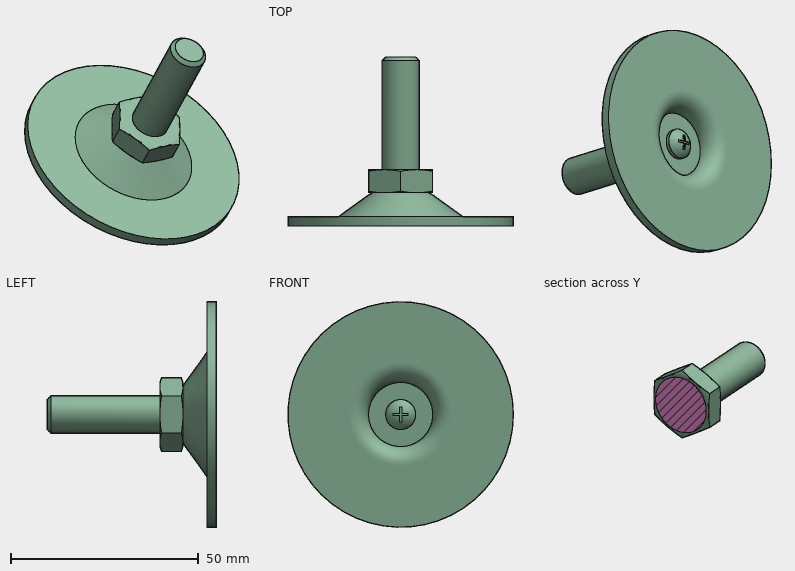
import cadquery as cq
import math

total_length = 45.0

disc_radius = 30.0
disc_thickness = 2.5

cone_base_radius = 16.55
cone_top_radius = 8.4
cone_top_y = 8.4
collar_radius = 7.5

nut_start_y = 8.9
nut_end_y = 15.0
nut_across_flats = 17.05
nut_corner_radius = nut_across_flats / 2 / math.cos(math.pi / 6)
nut_bevel_radius = nut_across_flats / 2
nut_bevel_angle = math.radians(18)

stud_radius = 10.0 / 2
stud_chamfer = 1.0

recess_mouth_radius = 13.5
recess_depth = 5.0
recess_floor_radius = recess_mouth_radius - recess_depth

head_radius = 8.0 / 2
head_rim_height = 1.0
head_height = 3.0
cross_length = 4.2
cross_width = 0.6
cross_depth = 0.4


def revolve_about_y(profile):
    """Turn a closed (radius, Y) profile into a solid around the Y axis."""
    return profile.close().revolve(360, (0, 0, 0), (0, 1, 0))


def make_base():
    """Disc, cone and collar, with a rounded recess in the floor face."""
    arc_offset = recess_depth * math.sqrt(0.5)
    arc_middle = (recess_mouth_radius - arc_offset, recess_depth - arc_offset)
    return revolve_about_y(
        cq.Workplane("XY")
        .moveTo(0, recess_depth)
        .lineTo(recess_floor_radius, recess_depth)
        .threePointArc(arc_middle, (recess_mouth_radius, 0))
        .lineTo(disc_radius, 0)
        .lineTo(disc_radius, disc_thickness)
        .lineTo(cone_base_radius, disc_thickness)
        .lineTo(cone_top_radius, cone_top_y)
        .lineTo(collar_radius, nut_start_y)
        .lineTo(0, nut_start_y)
    )


def make_nut():
    """Hexagon with two corners on the Z axis and both ends bevelled."""
    corners = []
    for i in range(6):
        angle = math.pi / 2 + i * math.pi / 3
        corners.append((nut_corner_radius * math.cos(angle), nut_corner_radius * math.sin(angle)))
    hexagon = (
        cq.Workplane("XZ", origin=(0, nut_start_y, 0))
        .polyline(corners)
        .close()
        .extrude(nut_start_y - nut_end_y)
    )
    bevel_height = (nut_corner_radius - nut_bevel_radius) * math.tan(nut_bevel_angle)
    envelope = revolve_about_y(
        cq.Workplane("XY")
        .moveTo(0, nut_start_y)
        .lineTo(nut_bevel_radius, nut_start_y)
        .lineTo(nut_corner_radius, nut_start_y + bevel_height)
        .lineTo(nut_corner_radius, nut_end_y - bevel_height)
        .lineTo(nut_bevel_radius, nut_end_y)
        .lineTo(0, nut_end_y)
    )
    return hexagon.intersect(envelope)


def make_stud():
    """Round stud with a chamfered free end."""
    return (
        cq.Workplane("XZ", origin=(0, nut_start_y, 0))
        .circle(stud_radius)
        .extrude(nut_start_y - total_length)
        .faces(">Y")
        .chamfer(stud_chamfer)
    )


def make_screw_head():
    """Domed head on the recess floor with a cross slot in its crown."""
    rim_y = recess_depth - head_rim_height
    crown_y = recess_depth - head_height
    dome_height = head_height - head_rim_height
    dome_radius = (head_radius**2 + dome_height**2) / (2 * dome_height)
    half_angle = math.asin(head_radius / dome_radius) / 2
    arc_middle = (
        dome_radius * math.sin(half_angle),
        crown_y + dome_radius * (1 - math.cos(half_angle)),
    )
    head = revolve_about_y(
        cq.Workplane("XY")
        .moveTo(0, recess_depth)
        .lineTo(head_radius, recess_depth)
        .lineTo(head_radius, rim_y)
        .threePointArc(arc_middle, (0, crown_y))
    )
    slot_floor_y = crown_y + cross_depth
    for width, height in ((cross_length, cross_width), (cross_width, cross_length)):
        slot = (
            cq.Workplane("XZ", origin=(0, slot_floor_y, 0))
            .rect(width, height)
            .extrude(slot_floor_y)
        )
        head = head.cut(slot)
    return head


result = make_base().union(make_nut()).union(make_stud()).union(make_screw_head())